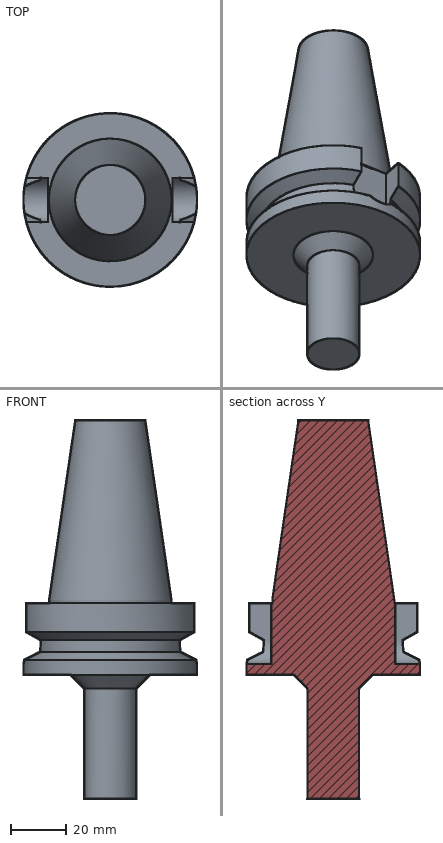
import cadquery as cq
import math

total_length = 137.4

taper_ratio = 7 / 24
taper_length = 65.4
gauge_diameter = 44.5
gauge_band_height = 1.0

flange_diameter = 63.0
flange_height = 26.1
groove_diameter = 53.0
groove_floor_height = 4.3
groove_flank_angle = 30.0
lower_rim_height = 5.5

nose_diameter = 19.0
nose_cone_height = 5.0

slot_width = 16.1
slot_depth = 22.1
slot_floor_distance = 22.5

gauge_radius = gauge_diameter / 2
taper_top_radius = (gauge_diameter - taper_length * taper_ratio) / 2
flange_radius = flange_diameter / 2
groove_radius = groove_diameter / 2
nose_radius = nose_diameter / 2
nose_cone_radius = nose_radius + nose_cone_height

gauge_z = total_length - taper_length
flange_top_z = gauge_z - gauge_band_height
flange_bottom_z = flange_top_z - flange_height
nose_cone_bottom_z = flange_bottom_z - nose_cone_height
groove_flank_height = (flange_radius - groove_radius) * math.tan(math.radians(groove_flank_angle))
lower_rim_top_z = flange_bottom_z + lower_rim_height
groove_floor_bottom_z = lower_rim_top_z + groove_flank_height
groove_floor_top_z = groove_floor_bottom_z + groove_floor_height
upper_rim_bottom_z = groove_floor_top_z + groove_flank_height


def turned_body():
    """Revolve the half profile (radius, Z) about the Z axis."""
    profile = [
        (0, 0),
        (nose_radius, 0),
        (nose_radius, nose_cone_bottom_z),
        (nose_cone_radius, flange_bottom_z),
        (flange_radius, flange_bottom_z),
        (flange_radius, lower_rim_top_z),
        (groove_radius, groove_floor_bottom_z),
        (groove_radius, groove_floor_top_z),
        (flange_radius, upper_rim_bottom_z),
        (flange_radius, flange_top_z),
        (gauge_radius, flange_top_z),
        (gauge_radius, gauge_z),
        (taper_top_radius, total_length),
        (0, total_length),
    ]
    return cq.Workplane("XZ").polyline(profile).close().revolve(360, (0, 0), (0, 1))


def drive_slot(side):
    """Round-bottomed slot, open at the flange top; side is +1 or -1 along X."""
    half_width = slot_width / 2
    slot_bottom_z = flange_top_z - slot_depth
    arc_center_z = slot_bottom_z + half_width
    return (
        cq.Workplane("YZ", origin=(side * slot_floor_distance, 0, 0))
        .moveTo(-half_width, flange_top_z)
        .lineTo(-half_width, arc_center_z)
        .threePointArc((0, slot_bottom_z), (half_width, arc_center_z))
        .lineTo(half_width, flange_top_z)
        .close()
        .extrude(side * flange_radius)
    )


result = turned_body()
for slot_side in (-1, 1):
    result = result.cut(drive_slot(slot_side))